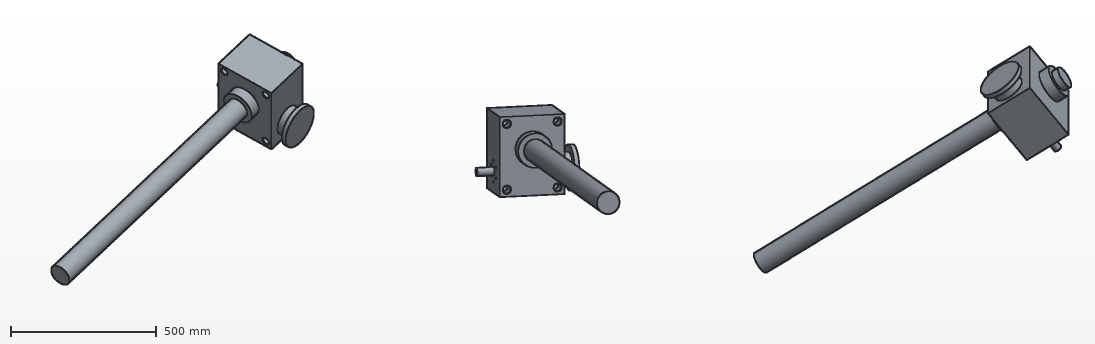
import cadquery as cq
import math

housing_width = 230.0
housing_depth = 176.0
housing_height = 280.0
rod_axis_below_top = 115.0
housing_top = rod_axis_below_top
housing_bottom = housing_top - housing_height
housing_mid_z = (housing_top + housing_bottom) / 2

collar_diameter = 120.0
collar_length = 40.0

rod_diameter = 80.0
rod_length = 1281.0
rod_back_overhang = 25.0
rod_back_y = housing_depth / 2 + collar_length + rod_back_overhang

mount_hole_diameter = 26.21
mount_entry_diameter = 30.0
mount_hole_depth = 45.0
mount_hole_inset = 25.0
mount_spacing_x = housing_width - 2 * mount_hole_inset
mount_spacing_z = housing_height - 2 * mount_hole_inset

drive_axis_below_rod = 90.0
drive_axis_z = -drive_axis_below_rod

shaft_diameter = 30.0
shaft_length = 60.0
shaft_hole_diameter = 8.38
shaft_entry_diameter = 10.0
shaft_hole_depth = 22.0

ring_hole_diameter = 6.65
ring_entry_diameter = 8.0
ring_hole_depth = 16.0
ring_pitch_diameter = 74.0
ring_hole_count = 6

flange_length = 55.0
flange_thickness = 17.0
flange_diameter = 160.0
neck_diameter = 110.0
neck_length = flange_length - flange_thickness

drill_point_angle = 118.0

AXIS_X = cq.Vector(1, 0, 0)
AXIS_Y = cq.Vector(0, 1, 0)


def rod_along(axis, start, diameter, length):
    """Solid cylinder from its start point along the given axis."""
    return cq.Workplane(cq.Solid.makeCylinder(diameter / 2, length, cq.Vector(*start), axis))


def threaded_hole(axis, start, diameter, entry_diameter, depth):
    """Blind hole cutter: a 45 degree entry chamfer, a straight bore and a drill point."""
    radius = diameter / 2
    point_length = radius / math.tan(math.radians(drill_point_angle / 2))
    bore = rod_along(axis, start, diameter, depth)
    point = cq.Solid.makeCone(radius, 0, point_length, cq.Vector(*start) + axis * depth, axis)
    entry_radius = entry_diameter / 2
    entry_depth = entry_radius - radius
    entry = cq.Solid.makeCone(entry_radius, radius, entry_depth, cq.Vector(*start), axis)
    return bore.union(cq.Workplane(point)).union(cq.Workplane(entry))


def make_housing():
    block = cq.Workplane("XY").box(housing_width, housing_depth, housing_height)
    body = block.translate((0, 0, housing_mid_z))

    collars_span = housing_depth + 2 * collar_length
    collars_start = (0, -collars_span / 2, 0)
    body = body.union(rod_along(AXIS_Y, collars_start, collar_diameter, collars_span))
    body = body.cut(rod_along(AXIS_Y, collars_start, rod_diameter, collars_span))

    for side_x in (-1, 1):
        for side_z in (-1, 1):
            x = side_x * mount_spacing_x / 2
            z = housing_mid_z + side_z * mount_spacing_z / 2
            start = (x, -housing_depth / 2, z)
            hole = threaded_hole(
                AXIS_Y, start, mount_hole_diameter, mount_entry_diameter, mount_hole_depth
            )
            body = body.cut(hole)

    for index in range(ring_hole_count):
        angle = 2 * math.pi * index / ring_hole_count
        y = ring_pitch_diameter / 2 * math.sin(angle)
        z = drive_axis_z + ring_pitch_diameter / 2 * math.cos(angle)
        start = (-housing_width / 2, y, z)
        hole = threaded_hole(
            AXIS_X, start, ring_hole_diameter, ring_entry_diameter, ring_hole_depth
        )
        body = body.cut(hole)
    return body


def make_lift_rod():
    return rod_along(AXIS_Y, (0, rod_back_y - rod_length, 0), rod_diameter, rod_length)


def make_input_shaft():
    """Stub shaft that stands on the -X face of the housing."""
    end = (-housing_width / 2 - shaft_length, 0, drive_axis_z)
    shaft = rod_along(AXIS_X, end, shaft_diameter, shaft_length)
    hole = threaded_hole(AXIS_X, end, shaft_hole_diameter, shaft_entry_diameter, shaft_hole_depth)
    return shaft.cut(hole)


def make_motor_flange():
    neck_start = (housing_width / 2, 0, drive_axis_z)
    disc_start = (housing_width / 2 + neck_length, 0, drive_axis_z)
    neck = rod_along(AXIS_X, neck_start, neck_diameter, neck_length)
    return neck.union(rod_along(AXIS_X, disc_start, flange_diameter, flange_thickness))


housing = make_housing()
lift_rod = make_lift_rod()
input_shaft = make_input_shaft()
motor_flange = make_motor_flange()

result = cq.Compound.makeCompound(
    [housing.val(), lift_rod.val(), input_shaft.val(), motor_flange.val()]
)